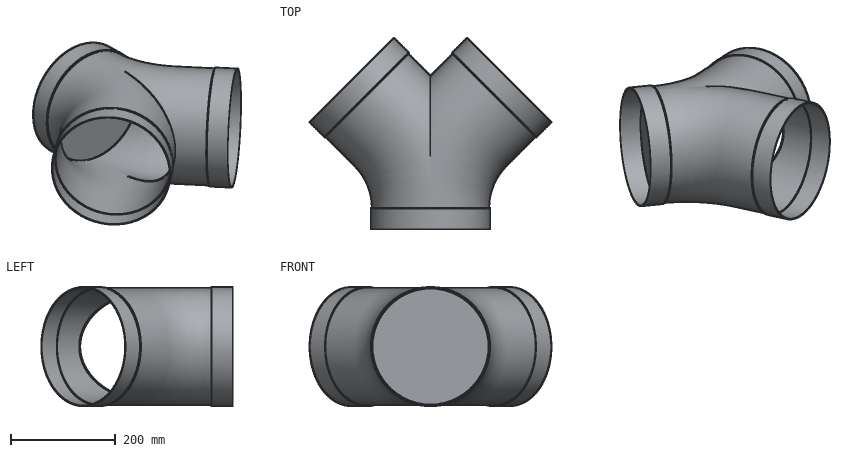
import cadquery as cq
import math


wall = 1.8
tube_diameter = 225.0
socket_depth = 40.0
branch_angle = 45.0
branch_reach = 120.0

tube_radius = tube_diameter / 2
bore_radius = tube_radius - wall
collar_radius = tube_radius + wall
bend_radius = tube_diameter
collar_length = socket_depth + wall
angle = math.radians(branch_angle)
branch_direction = cq.Vector(math.sin(angle), math.cos(angle), 0)
bend_end = cq.Vector(bend_radius * (1 - math.cos(angle)), bend_radius * math.sin(angle), 0)
branch_mouth = bend_end + branch_direction * branch_reach


def rod(radius, length, start, direction):
    """Solid cylinder running from a start point along a direction."""
    return cq.Workplane(cq.Solid.makeCylinder(radius, length, start, direction))


def branch_rod(radius, straight_length):
    """Solid bend to the +X side with a straight run after it."""
    bend = (
        cq.Workplane("XZ")
        .circle(radius)
        .revolve(branch_angle, (bend_radius, 1, 0), (bend_radius, 0, 0))
    )
    return bend.union(rod(radius, straight_length, bend_end, branch_direction))


def with_mirror(body):
    """Join a body to its mirror image across the YZ plane."""
    return body.union(body.mirror("YZ"))


def branch_collar():
    """Collar blank around the end of the +X branch."""
    return rod(collar_radius, collar_length, branch_mouth, branch_direction * -1)


def branch_socket():
    """Socket space inside the collar of the +X branch."""
    return rod(tube_radius, socket_depth, branch_mouth, branch_direction * -1)


def inlet_cup():
    """Inlet collar whose floor closes the inlet."""
    mouth = cq.Vector(0, -collar_length, 0)
    inward = cq.Vector(0, 1, 0)
    collar = rod(collar_radius, collar_length, mouth, inward)
    return collar.cut(rod(tube_radius, socket_depth, mouth, inward))


outside = with_mirror(branch_rod(tube_radius, branch_reach).union(branch_collar()))
inside = with_mirror(branch_rod(bore_radius, branch_reach).union(branch_socket()))

result = outside.cut(inside).union(inlet_cup())